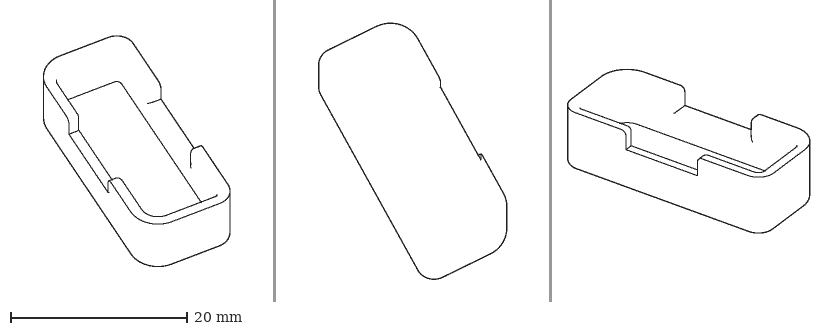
import cadquery as cq

length = 28.0
width = 11.7
height = 7.7
front_corner_radius = 3.5
back_corner_radius = 2.1
bottom_round = 0.6

wall = 1.48
floor_thickness = 1.5
rim_round = 0.67

notch_width = 9.85
notch_depth = 2.45

notch_floor = height - notch_depth

margin = 0.03


def rounded_block(inset, bottom, block_height):
    """Block inset from the tray outline, with corners concentric to it."""
    block = cq.Workplane("XY").workplane(offset=bottom).rect(length - 2 * inset, width - 2 * inset)
    block = block.extrude(block_height)
    block = block.edges("|Z and <Y").fillet(front_corner_radius - inset)
    return block.edges("|Z and >Y").fillet(back_corner_radius - inset)


def cut_notch(tray):
    """Cut the notch through both long walls."""
    notch = cq.Workplane("XY").box(notch_width, 2 * width, notch_depth, centered=(True, True, False))
    return tray.cut(notch.translate((0, 0, notch_floor)))


def round_rim(tray):
    """Round the inner rim edges, along the notch too, together with the notch's upper lips."""
    inner_x = length / 2 - wall + margin
    inner_y = width / 2 - wall + margin
    inner_box = cq.selectors.BoxSelector(
        (-inner_x, -inner_y, notch_floor - margin), (inner_x, inner_y, height + margin), boundingbox=True
    )
    lip_x = notch_width / 2 + margin
    lip_box = cq.selectors.BoxSelector((-lip_x, -width, height - margin), (lip_x, width, height + margin))
    inner_edges = tray.edges(inner_box).vals()
    lip_edges = tray.edges("|Y").edges(lip_box).vals()
    return tray.newObject(inner_edges + lip_edges).fillet(rim_round)


body = rounded_block(0, 0, height).faces("<Z").edges().fillet(bottom_round)
cavity = rounded_block(wall, floor_thickness, height - floor_thickness)
result = round_rim(cut_notch(body.cut(cavity)))